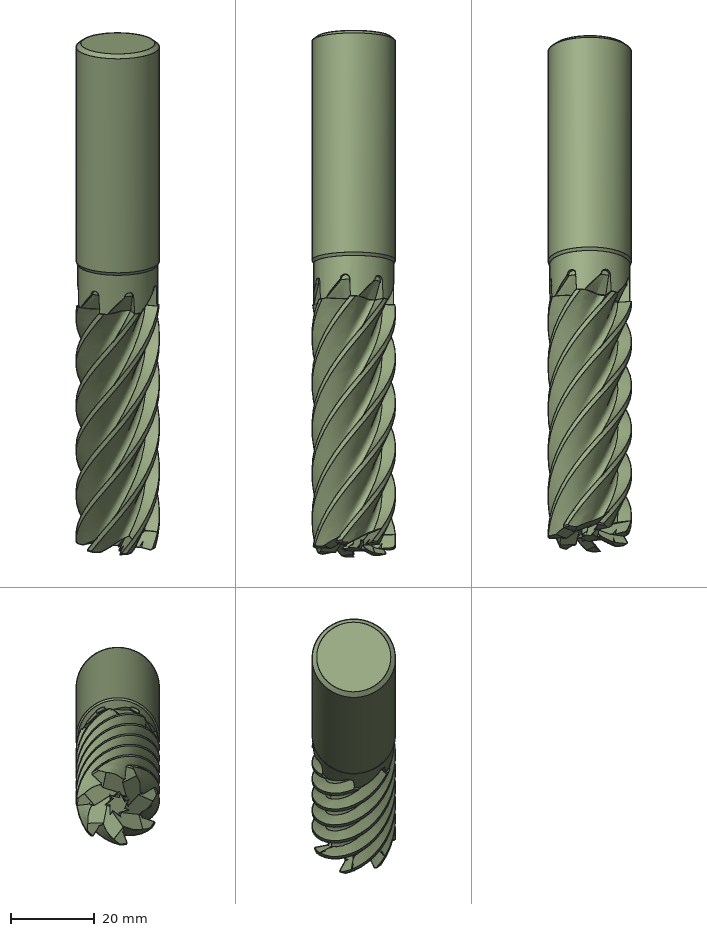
import cadquery as cq
import math

TOTAL_LENGTH = 125.0
TOOL_RADIUS = 10.0
NECK_RADIUS = 9.6
SHANK_BOTTOM = 70.6
NECK_TOP = 69.9
TOP_CHAMFER_WIDTH = 1.1
TOP_CHAMFER_HEIGHT = 0.9

CUTTER_LENGTH = 60.0
FLUTE_COUNT = 7
FLUTE_PITCH = 360.0 / FLUTE_COUNT
HELIX_ANGLE = 39.0
HELIX_LEAD = 2 * math.pi * TOOL_RADIUS / math.tan(math.radians(HELIX_ANGLE))
CUTTER_TWIST = 360.0 * CUTTER_LENGTH / HELIX_LEAD
RAKE_ANGLE_AT_NECK = -56.2
CORNER_CHAMFER = 0.4

LAND_ANGLE = 8.0
RELIEF_MIDDLE_ANGLE = 20.0
RELIEF_MIDDLE_RADIUS = 8.5
RELIEF_END_ANGLE = 35.0
RELIEF_END_RADIUS = 6.5
ROOT_RADIUS = 6.0
ROOT_ANGLE = 46.0
RAKE_FOOT_ANGLE = 54.5
RAKE_FOOT_RADIUS = 6.8

RUNOUT_TOP = 65.4
RUNOUT_TIP_ANGLE = -7.5
RUNOUT_TIP_RADIUS = 1.1
RUNOUT_TIP_DEPTH = 0.8
NECK_TOOTH_ANGLE = 12.5
RUNOUT_START_ANGLE = NECK_TOOTH_ANGLE - FLUTE_PITCH

GASH_HEIGHT = 3.8
GASH_WIDTH = 4.4
GASH_TOP_WIDTH = 0.5
GASH_INNER_RADIUS = 1.9

CLEARANCE = 1.2


def polar(radius, degrees):
    angle = math.radians(degrees)
    return radius * math.cos(angle), radius * math.sin(angle)


def cutter_section(start_angle):
    """Closed outline of the toothed cross-section with one cutting edge at start_angle."""
    outline = cq.Workplane("XY").moveTo(*polar(TOOL_RADIUS, start_angle))
    for tooth in range(FLUTE_COUNT):
        edge = start_angle + tooth * FLUTE_PITCH
        outline = (
            outline
            .threePointArc(polar(TOOL_RADIUS, edge + LAND_ANGLE / 2), polar(TOOL_RADIUS, edge + LAND_ANGLE))
            .threePointArc(
                polar(RELIEF_MIDDLE_RADIUS, edge + RELIEF_MIDDLE_ANGLE),
                polar(RELIEF_END_RADIUS, edge + RELIEF_END_ANGLE),
            )
            .threePointArc(
                polar(ROOT_RADIUS, edge + ROOT_ANGLE),
                polar(RAKE_FOOT_RADIUS, edge + RAKE_FOOT_ANGLE),
            )
        )
        if tooth < FLUTE_COUNT - 1:
            outline = outline.lineTo(*polar(TOOL_RADIUS, edge + FLUTE_PITCH))
    return outline.close()


def make_gash(edge_angle):
    """Wedge whose upper wall leans at the helix angle along one cutting edge at the tip."""
    lean = GASH_HEIGHT * math.tan(math.radians(HELIX_ANGLE))
    return (
        cq.Workplane("YZ", origin=(GASH_INNER_RADIUS, 0, 0))
        .polyline([(0, 0), (lean, GASH_HEIGHT), (lean - GASH_TOP_WIDTH, GASH_HEIGHT), (-GASH_WIDTH, 0)])
        .close()
        .extrude(TOOL_RADIUS + CLEARANCE)
        .rotate((0, 0, 0), (0, 0, 1), edge_angle)
    )


def make_cutter():
    bottom_angle = RAKE_ANGLE_AT_NECK - CUTTER_TWIST
    cutter = cutter_section(bottom_angle).twistExtrude(CUTTER_LENGTH, CUTTER_TWIST)
    blank = (
        cq.Workplane("XY")
        .circle(TOOL_RADIUS + CLEARANCE)
        .extrude(CUTTER_LENGTH)
        .faces("<Z")
        .chamfer(CLEARANCE + CORNER_CHAMFER)
    )
    cutter = cutter.intersect(blank)
    for tooth in range(FLUTE_COUNT):
        cutter = cutter.cut(make_gash(bottom_angle + tooth * FLUTE_PITCH))
    return cutter


def make_runout(edge_angle):
    """Tapering scoop with a rounded tip that continues one flute up into the neck."""
    outside = NECK_RADIUS + CLEARANCE
    floor = NECK_RADIUS - RUNOUT_TIP_DEPTH
    tip_height = RUNOUT_TOP - RUNOUT_TIP_RADIUS
    tip_angle = edge_angle + RUNOUT_TIP_ANGLE
    tip_half_angle = math.degrees(RUNOUT_TIP_RADIUS / NECK_RADIUS)
    tip_end = tip_angle + tip_half_angle
    tip_start = tip_angle - tip_half_angle
    flute_start = edge_angle + RUNOUT_START_ANGLE
    base = [
        polar(outside, edge_angle),
        polar(RAKE_FOOT_RADIUS, edge_angle + RAKE_FOOT_ANGLE - FLUTE_PITCH),
        polar(RELIEF_END_RADIUS, edge_angle + RELIEF_END_ANGLE - FLUTE_PITCH),
        polar(NECK_RADIUS, flute_start),
        polar(outside, flute_start),
    ]
    tip = [
        polar(outside, tip_end),
        polar(floor, tip_end),
        polar(floor, tip_angle),
        polar(floor, tip_start),
        polar(outside, tip_start),
    ]
    scoop = (
        cq.Workplane("XY", origin=(0, 0, CUTTER_LENGTH))
        .polyline(base)
        .close()
        .workplane(offset=tip_height - CUTTER_LENGTH)
        .polyline(tip)
        .close()
        .loft(ruled=True)
    )
    rounded_tip = (
        cq.Workplane("YZ", origin=(floor, 0, tip_height))
        .circle(RUNOUT_TIP_RADIUS)
        .extrude(outside - floor)
        .rotate((0, 0, 0), (0, 0, 1), tip_angle)
    )
    return scoop, rounded_tip


def make_shank():
    shank = (
        cq.Workplane("YZ")
        .moveTo(0, CUTTER_LENGTH)
        .lineTo(-NECK_RADIUS, CUTTER_LENGTH)
        .lineTo(-NECK_RADIUS, NECK_TOP)
        .lineTo(-TOOL_RADIUS, SHANK_BOTTOM)
        .lineTo(-TOOL_RADIUS, TOTAL_LENGTH - TOP_CHAMFER_HEIGHT)
        .lineTo(-(TOOL_RADIUS - TOP_CHAMFER_WIDTH), TOTAL_LENGTH)
        .lineTo(0, TOTAL_LENGTH)
        .close()
        .revolve(360, (0, 0, 0), (0, 1, 0))
    )
    for flute in range(FLUTE_COUNT):
        scoop, rounded_tip = make_runout(RAKE_ANGLE_AT_NECK + flute * FLUTE_PITCH)
        shank = shank.cut(scoop).cut(rounded_tip)
    return shank


cutter = make_cutter()
shank = make_shank()

result = cq.Compound.makeCompound([shank.val(), cutter.val()])